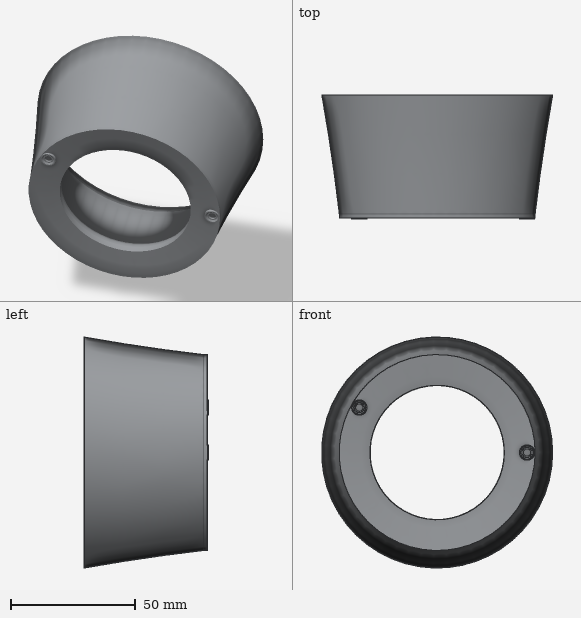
import cadquery as cq
import math

rear_radius = 46.2
front_radius = 39.2
opening_radius = 26.8
bore_radius = 40.1
rear_bore_radius = 44.2

body_length = 49.2
front_rim_length = 1.6
face_dish = 1.8
lip_length = 2.8
hollow_length = 23.1
rear_bore_start = 41.6
waist_radius = 32.8
waist_depth = 10.6
wall_bow = 0.4

lip_end = face_dish + lip_length

screw_orbit = 35.9
screw_angles = (0, 150)
screw_radius = 3.05
screw_projection = 0.5
countersink_radius = 2.6
countersink_floor_radius = 2.0
countersink_depth = 0.6
socket_radius = 1.5
socket_depth = 1.4
screw_embed = 1.4


def make_ring():
    """Flared ring with a lipped opening, S-curved hollow and flared bore."""
    wall_middle = (
        (front_radius + rear_radius) / 2 - wall_bow,
        (front_rim_length + body_length) / 2,
    )
    profile = (
        cq.Workplane("XY")
        .moveTo(opening_radius, face_dish)
        .lineTo(front_radius, 0)
        .lineTo(front_radius, front_rim_length)
        .threePointArc(wall_middle, (rear_radius, body_length))
        .lineTo(rear_bore_radius, body_length)
        .lineTo(bore_radius, rear_bore_start)
        .lineTo(bore_radius, hollow_length)
        .spline(
            [(waist_radius, waist_depth), (opening_radius, lip_end)],
            tangents=[(0, -1), (0, -1)],
            includeCurrent=True,
        )
        .close()
    )
    return profile.revolve(360, (0, 0, 0), (0, 1, 0))


def place_on_orbit(shape, angle):
    """Move a shape from the Y axis to its place on the screw circle."""
    return shape.translate((screw_orbit, 0, 0)).rotate((0, 0, 0), (0, 1, 0), -angle)


def make_screw():
    """Plain cylindrical screw, pointing toward -Y."""
    length = screw_embed + screw_projection
    return cq.Workplane("XZ", origin=(0, screw_embed, 0)).circle(screw_radius).extrude(length)


def make_socket():
    """Cutter for the countersink and the round socket below it."""
    screw_end = cq.Workplane("XZ", origin=(0, -screw_projection, 0))
    countersink = (
        screw_end.circle(countersink_radius)
        .workplane(offset=-countersink_depth)
        .circle(countersink_floor_radius)
        .loft()
    )
    socket = screw_end.circle(socket_radius).extrude(-socket_depth)
    return countersink.union(socket)


result = make_ring()
for angle in screw_angles:
    result = result.union(place_on_orbit(make_screw(), angle))
    result = result.cut(place_on_orbit(make_socket(), angle))